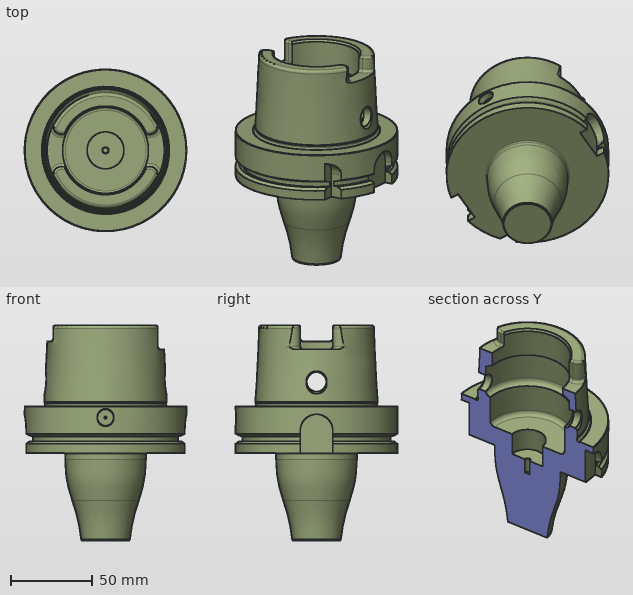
import cadquery as cq
import math


shank_length = 50.0
gauge_radius = 75.013 / 2
gauge_height = 10.0
taper_slope = 1 / 19.96
rim_fillet = 2.0

relief_top = 2.6
relief_step = 0.9
relief_radius = 37.5
relief_depth = 0.5
relief_fillet = 1.3
relief_outer_radius = 39.4

flange_radius = 50.0
flange_thickness = 29.0
flange_edge = 0.3
groove_center = 20.05
groove_mouth_width = 6.4
groove_width = 3.3
groove_lip_radius = 47.8
groove_root_radius = 45.9
groove_upper_bevel = 0.6

nose_length = 53.9
neck_radius = 25.0
neck_fillet = 0.7
neck_length = 3.7
shoulder_radius = 75.0
shoulder_length = 25.4
tip_radius = 15.1
tip_chamfer_height = 0.8
tip_chamfer_width = 0.5

bore_radius = 26.5
bore_length = 19.5
bore_chamfer_width = 0.9
bore_chamfer_height = 1.5
cavity_radius = 31.5
clamp_angle = math.radians(60)
cavity_bottom = 9.8
pocket_radius = 27.9
pocket_depth = 15.0
floor_fillet = 3.0
tube_hole_radius = 11.4
tube_hole_depth = 15.0
coolant_hole_radius = 1.7
coolant_hole_chamfer = 0.3
coolant_hole_depth = 10.0

slot_width = 20.0
slot_depth_minus_x = 10.0
slot_depth_plus_x = 15.0
lug_corner_radius = 5.0
lug_end = 32.3
lug_top_fillet = 1.5
slot_floor_fillet = 2.0

access_radius = 6.0
access_height = 15.0
access_chamfer_start = 36.25

keyway_width = 20.0
keyway_top = 5.0
keyway_floor = 44.0
notch_radius = 8.0
notch_top = 5.7
notch_floor = 31.5
notch_side = 31.5

chip_height = -7.0
chip_radius = 5.0
chip_chamfer = 0.4
chip_depth = 4.6
vent_radius = 0.7
vent_depth = 1.0

margin = 5.0


def taper_radius(z):
    """Radius of the shank cone at height z."""
    return gauge_radius - (z - gauge_height) * taper_slope


def make_body():
    """Revolved outside of the shank, flange and nose."""
    rim_z = shank_length - rim_fillet
    rim_r = taper_radius(rim_z)
    groove_top = groove_width / 2 - groove_center
    groove_bottom = -groove_width / 2 - groove_center
    mouth_top = groove_mouth_width / 2 - groove_center
    mouth_bottom = -groove_mouth_width / 2 - groove_center
    nose_top = -flange_thickness
    neck_bottom = nose_top - neck_length
    shoulder_bottom = neck_bottom - shoulder_length
    shoulder_end = neck_radius - shoulder_radius + math.sqrt(shoulder_radius**2 - shoulder_length**2)
    tip_z = nose_top - nose_length
    diagonal = math.sin(math.radians(45))

    profile = (
        cq.Workplane("XZ")
        .moveTo(0, shank_length)
        .lineTo(rim_r - rim_fillet, shank_length)
        .threePointArc(
            (rim_r - rim_fillet * (1 - diagonal), rim_z + rim_fillet * diagonal),
            (rim_r, rim_z),
        )
        .lineTo(taper_radius(relief_top), relief_top)
        .lineTo(relief_radius, relief_top - relief_step)
        .lineTo(relief_radius, relief_fillet - relief_depth)
        .radiusArc((relief_radius + relief_fillet, -relief_depth), -relief_fillet)
        .lineTo(relief_outer_radius, 0)
        .lineTo(flange_radius - flange_edge, 0)
        .lineTo(flange_radius, -flange_edge)
        .lineTo(flange_radius, mouth_top)
        .lineTo(groove_lip_radius, groove_top + groove_upper_bevel / 2)
        .lineTo(groove_root_radius, groove_top - groove_upper_bevel / 2)
        .lineTo(groove_root_radius, groove_bottom)
        .lineTo(groove_lip_radius, groove_bottom)
        .lineTo(flange_radius, mouth_bottom)
        .lineTo(flange_radius, nose_top)
        .lineTo(neck_radius + neck_fillet, nose_top)
        .radiusArc((neck_radius, nose_top - neck_fillet), -neck_fillet)
        .lineTo(neck_radius, neck_bottom)
        .tangentArcPoint((shoulder_end, shoulder_bottom), relative=False)
        .tangentArcPoint((tip_radius, tip_z + tip_chamfer_height), relative=False)
        .lineTo(tip_radius - tip_chamfer_width, tip_z)
        .lineTo(0, tip_z)
        .close()
    )
    return profile.revolve(360, (0, 0, 0), (0, 1, 0))


def make_cavity():
    """Revolved clamping cavity with the pocket and the coolant tube hole below it."""
    bore_end = shank_length - bore_length
    shoulder_end = bore_end - (cavity_radius - bore_radius) / math.tan(clamp_angle)
    ledge_fillet = cavity_radius - pocket_radius
    ledge = cavity_bottom - ledge_fillet
    floor = -pocket_depth
    tube_end = floor - tube_hole_depth
    profile = (
        cq.Workplane("XZ")
        .moveTo(0, shank_length)
        .lineTo(bore_radius + bore_chamfer_width, shank_length)
        .lineTo(bore_radius, shank_length - bore_chamfer_height)
        .lineTo(bore_radius, bore_end)
        .lineTo(cavity_radius, shoulder_end)
        .lineTo(cavity_radius, cavity_bottom)
        .radiusArc((pocket_radius, ledge), ledge_fillet)
        .lineTo(pocket_radius, floor + floor_fillet)
        .radiusArc((pocket_radius - floor_fillet, floor), floor_fillet)
        .lineTo(tube_hole_radius, floor)
        .lineTo(tube_hole_radius, tube_end)
        .lineTo(coolant_hole_radius + coolant_hole_chamfer, tube_end)
        .lineTo(coolant_hole_radius, tube_end - coolant_hole_chamfer)
        .lineTo(coolant_hole_radius, tube_end - coolant_hole_depth)
        .lineTo(0, tube_end - coolant_hole_depth)
        .close()
    )
    return profile.revolve(360, (0, 0, 0), (0, 1, 0))


def make_driving_slot(depth):
    """Cutter for the +X driving slot, leaving lugs with rounded corners and edges."""
    floor = shank_length - depth
    reach = flange_radius
    half_width = slot_width / 2

    corner_x = lug_end - lug_corner_radius
    corner_y = half_width + lug_corner_radius
    corner_distance = math.hypot(corner_x, corner_y)
    out_x = corner_x / corner_distance
    out_y = corner_y / corner_distance
    arc_end_x = corner_x + lug_corner_radius * out_x
    arc_end_y = corner_y + lug_corner_radius * out_y

    cutter = (
        cq.Workplane("XY", origin=(0, 0, floor))
        .rect(reach, 2 * reach)
        .extrude(depth + margin)
        .translate((reach / 2, 0, 0))
    )
    lug = (
        cq.Workplane("XY", origin=(0, 0, floor - margin))
        .moveTo(-margin, half_width)
        .lineTo(corner_x, half_width)
        .threePointArc((lug_end, corner_y), (arc_end_x, arc_end_y))
        .lineTo(arc_end_x - reach * out_y, arc_end_y + reach * out_x)
        .lineTo(-margin, arc_end_y + reach * out_x)
        .close()
        .extrude(depth + margin)
        .faces(">Z")
        .edges("not(<X or >Y)")
        .fillet(lug_top_fillet)
    )
    cutter = cutter.cut(lug).cut(lug.mirror("XZ"))
    wall_feet = cutter.faces("<Z").edges("not(>X or <X or >Y or <Y)")
    return wall_feet.fillet(slot_floor_fillet)


def make_access_hole():
    """Cutter for the +X access hole, flared at 45 degrees at the outside."""
    outer = gauge_radius + margin
    return (
        cq.Workplane("XY", origin=(0, 0, access_height))
        .lineTo(0, access_radius)
        .lineTo(access_chamfer_start, access_radius)
        .lineTo(outer, access_radius + outer - access_chamfer_start)
        .lineTo(outer, 0)
        .close()
        .revolve(360, (0, 0, 0), (1, 0, 0))
    )


def make_arched_slot(center_y, radius, top, floor):
    """Cutter open to +X and downwards, with a half-round top, down to a floor at x = floor."""
    length = flange_radius + margin - floor
    bottom = -flange_thickness - margin
    spring = -top - radius
    return (
        cq.Workplane("YZ", origin=(floor, 0, 0))
        .moveTo(center_y - radius, bottom)
        .lineTo(center_y - radius, spring)
        .threePointArc((center_y, -top), (center_y + radius, spring))
        .lineTo(center_y + radius, bottom)
        .close()
        .extrude(length)
    )


def make_chip_hole():
    """Cutter for the data chip hole on the -Y side, with a small hole in its floor."""
    floor = flange_radius - chip_depth
    chamfer_start = flange_radius - chip_chamfer
    outer = flange_radius + margin
    return (
        cq.Workplane("XY", origin=(0, 0, chip_height))
        .moveTo(0, -floor + vent_depth)
        .lineTo(vent_radius, -floor + vent_depth)
        .lineTo(vent_radius, -floor)
        .lineTo(chip_radius, -floor)
        .lineTo(chip_radius, -chamfer_start)
        .lineTo(chip_radius + outer - chamfer_start, -outer)
        .lineTo(0, -outer)
        .close()
        .revolve(360, (0, 0, 0), (0, 1, 0))
    )


body = make_body().cut(make_cavity())

body = body.cut(make_driving_slot(slot_depth_plus_x))
body = body.cut(make_driving_slot(slot_depth_minus_x).mirror("YZ"))

keyway = make_arched_slot(0, keyway_width / 2, keyway_top, keyway_floor)
for side_cutter in (make_access_hole(), keyway):
    body = body.cut(side_cutter).cut(side_cutter.mirror("YZ"))

notch = make_arched_slot(notch_side + notch_radius, notch_radius, notch_top, notch_floor)
body = body.cut(notch.mirror("YZ"))

result = body.cut(make_chip_hole())